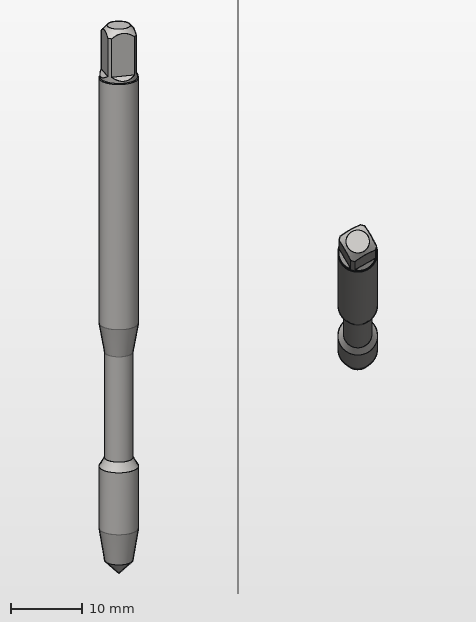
import cadquery as cq

SHANK_DIAMETER = 5.6
NECK_DIAMETER = 4.0
HEAD_DIAMETER = 5.6
LEAD_END_DIAMETER = 4.0
DRIVE_ACROSS_FLATS = 4.2
DRIVE_CORNER_DIAMETER = 5.3
DRIVE_TOP_DIAMETER = 3.3

TOTAL_LENGTH = 81.9
FLAT_LENGTH = 6.9
DRIVE_BEVEL = 1.15
SHANK_TOP = 74.0
SHANK_BOTTOM = 37.4
NECK_TOP = 33.1
HEAD_TOP = 17.4
HEAD_CHAMFER_BOTTOM = 16.05
LEAD_TOP = 6.8

POINT_LENGTH = LEAD_END_DIAMETER / 2
SHOULDER_CHAMFER = (SHANK_DIAMETER - DRIVE_CORNER_DIAMETER) / 2
FLAT_BOTTOM = TOTAL_LENGTH - FLAT_LENGTH
RUNOUT_HEIGHT = (DRIVE_CORNER_DIAMETER - DRIVE_ACROSS_FLATS) / 2
RUNOUT_BOTTOM = FLAT_BOTTOM - RUNOUT_HEIGHT


def turned(stations):
    """Revolve a profile of (diameter, height) stations, listed upwards, about Z."""
    outline = [(diameter / 2, height) for diameter, height in stations]
    bottom = stations[0][1]
    top = stations[-1][1]
    points = [(0, bottom)]
    for point in outline + [(0, top)]:
        if point != points[-1]:
            points.append(point)
    return cq.Workplane("XZ").polyline(points).close().revolve(360, (0, 0), (0, 1))


def square_limit():
    """Square prism with a flared foot; drive material outside it is milled away."""
    prism = (
        cq.Workplane("XY")
        .workplane(offset=FLAT_BOTTOM)
        .rect(DRIVE_ACROSS_FLATS, DRIVE_ACROSS_FLATS)
        .extrude(FLAT_LENGTH)
    )
    foot = (
        cq.Workplane("XY")
        .workplane(offset=RUNOUT_BOTTOM)
        .rect(DRIVE_CORNER_DIAMETER, DRIVE_CORNER_DIAMETER)
        .workplane(offset=RUNOUT_HEIGHT)
        .rect(DRIVE_ACROSS_FLATS, DRIVE_ACROSS_FLATS)
        .loft(ruled=True)
    )
    return prism.union(foot)


def make_shank():
    """Neck, tapered shoulder, cylindrical shank and square drive end."""
    body = turned([
        (NECK_DIAMETER, HEAD_TOP),
        (NECK_DIAMETER, NECK_TOP),
        (SHANK_DIAMETER, SHANK_BOTTOM),
        (SHANK_DIAMETER, SHANK_TOP),
        (DRIVE_CORNER_DIAMETER, SHANK_TOP + SHOULDER_CHAMFER),
        (DRIVE_CORNER_DIAMETER, RUNOUT_BOTTOM),
    ])
    drive = turned([
        (DRIVE_CORNER_DIAMETER, RUNOUT_BOTTOM),
        (DRIVE_CORNER_DIAMETER, TOTAL_LENGTH - DRIVE_BEVEL),
        (DRIVE_TOP_DIAMETER, TOTAL_LENGTH),
    ])
    return body.union(drive.intersect(square_limit()))


def make_cutting_head():
    """Pointed head with a tapered lead and a chamfer up to the neck."""
    return turned([
        (0, 0),
        (LEAD_END_DIAMETER, POINT_LENGTH),
        (HEAD_DIAMETER, LEAD_TOP),
        (HEAD_DIAMETER, HEAD_CHAMFER_BOTTOM),
        (NECK_DIAMETER, HEAD_TOP),
    ])


shank = make_shank()
cutting_head = make_cutting_head()

result = cq.Compound.makeCompound([shank.val(), cutting_head.val()])